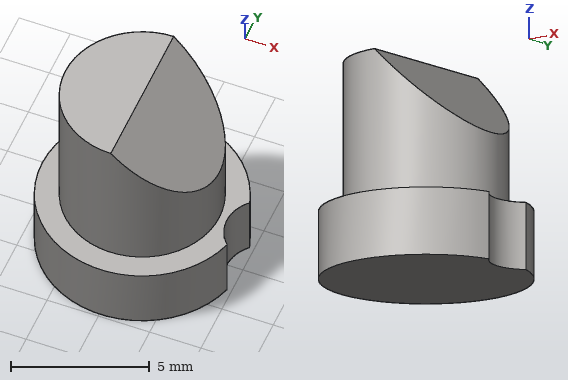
import cadquery as cq

total_height = 8.0
flange_diameter = 7.8
flange_height = 2.5
post_diameter = 6.0
notch_diameter = 3.0
notch_center_x = 4.8

post_radius = post_diameter / 2


def make_flange():
    """Round base with a circular notch through its +X edge."""
    disc = cq.Workplane("XY").circle(flange_diameter / 2).extrude(flange_height)
    notch = (
        cq.Workplane("XY")
        .center(notch_center_x, 0)
        .circle(notch_diameter / 2)
        .extrude(flange_height)
    )
    return disc.cut(notch)


def make_post():
    """Round post whose +X half is cut at 45 degrees, starting at the axis."""
    post = cq.Workplane("XY").circle(post_radius).extrude(total_height)
    bevel = (
        cq.Workplane("XZ")
        .moveTo(0, total_height)
        .lineTo(post_radius, total_height)
        .lineTo(post_radius, total_height - post_radius)
        .close()
        .extrude(post_radius, both=True)
    )
    return post.cut(bevel)


result = make_flange().union(make_post())